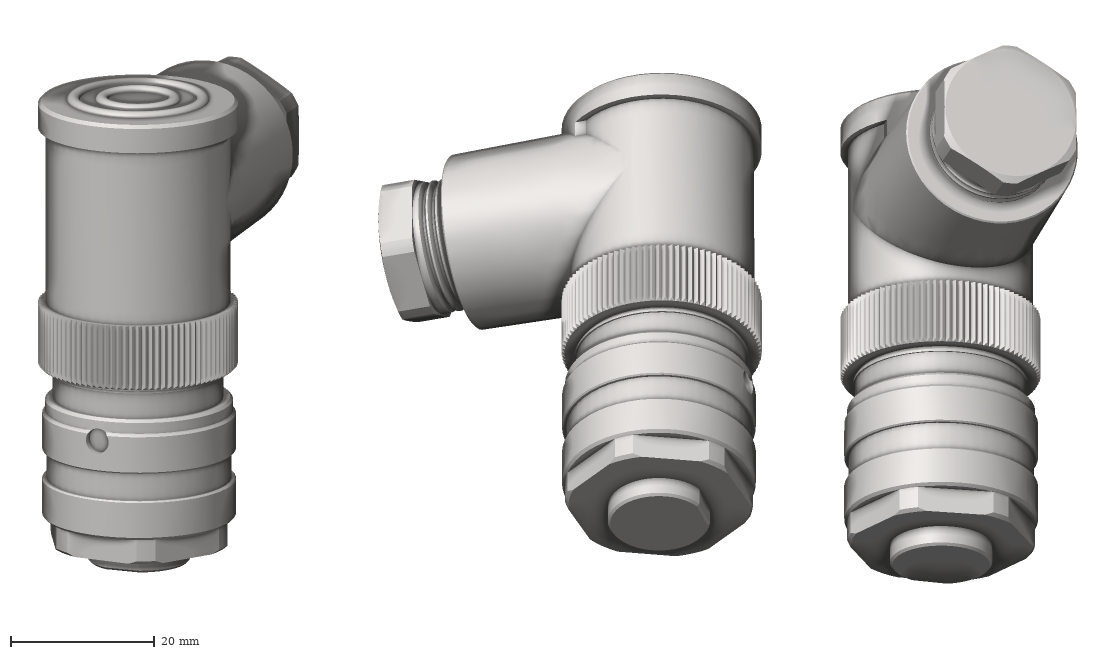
import cadquery as cq
import math


TOTAL_HEIGHT = 67.4
OVERALL_WIDTH = 28.0
CAP_RADIUS = OVERALL_WIDTH / 2
CAP_TOP = 66.65
CAP_BOTTOM = 62.7
CAP_CHAMFER = 0.5
BEAD_HEIGHT = TOTAL_HEIGHT - CAP_TOP
BEAD_WIDTH = 1.8
BEAD_MID_RADII = (5.05, 9.0)
BARREL_RADIUS = 12.95
KEY_HALF_WIDTH = 10.25
KNURL_TOP = 37.55
KNURL_BOTTOM = 28.3
KNURL_TEETH = 94
KNURL_DEPTH = 0.5
KNURL_CHAMFER = 0.4
NECK_RADIUS = 11.9
SHOULDER_RADIUS = 12.2
SHOULDER_TOP_RADIUS = 11.85
SHOULDER_CREST = 27.8
SHOULDER_BOTTOM = 27.4
NECK_BOTTOM = 16.05

ARM_AXIS_Z = 52.8
ARM_LENGTH = 28.5
ARM_END_RADIUS = 12.4
ARM_CHAMFER = 0.2
OVERALL_DEPTH = 52.5
GLAND_END_Y = OVERALL_DEPTH - CAP_RADIUS
GLAND_NUT_LENGTH = 5.0
GLAND_NUT_APOTHEM = 9.5
GLAND_NUT_CORNER_RADIUS = 10.45
GLAND_NUT_CHAMFER_SHORT = 0.35
GLAND_NUT_CHAMFER_LONG = 1.0
STUD_RADIUS = 9.3
STUD_INSERTION = 1.9
THREAD_ROOT_RADIUS = 8.5
THREAD_PITCH = 1.35
THREAD_TURNS = 3.95
THREAD_START_Y = 27.4
THREAD_OPENING = 1.1
THREAD_ROOT_WIDTH = 0.3

INSERT_OFFSET_Y = 0.4
INSERT_TURN = -5.0
COLLAR_TOP = 23.7
COLLAR_RADIUS = 13.15
COLLAR_CHAMFER = 0.4
RING_RADIUS = 13.55
GROOVE_RADIUS = 12.95
UPPER_RING_TOP = 21.8
UPPER_RING_BOTTOM = NECK_BOTTOM
LOWER_RING_TOP = 12.05
LOWER_RING_BOTTOM = 6.4
RING_CHAMFER = RING_RADIUS - COLLAR_RADIUS
RING_EDGE_BREAK = 0.2
HEX_BOTTOM = 2.8
HEX_APOTHEM = 12.0
HEX_CORNER_RADIUS = 13.15
HEX_CHAMFER = 0.5
TIP_RADIUS = 7.15
TIP_CHAMFER = 0.35
TIP_FLAT_DISTANCE = 6.7
WINDOW_Z = 20.4
WINDOW_RADIUS = 1.75


def cylinder(radius, bottom, top):
    """Upright cylinder on the Z axis."""
    return cq.Workplane("XY").workplane(offset=bottom).circle(radius).extrude(top - bottom)


def revolved(points):
    """Solid of revolution about the Z axis from (radius, height) points."""
    return cq.Workplane("XZ").polyline(points).close().revolve(360, (0, 0, 0), (0, 1, 0))


def hexagon(apothem, bottom, top):
    """Hexagonal prism on the Z axis, with flats facing +X and -X."""
    across_corners = 2 * apothem / math.cos(math.pi / 6)
    prism = cq.Workplane("XY").workplane(offset=bottom).polygon(6, across_corners).extrude(top - bottom)
    return prism.rotate((0, 0, 0), (0, 0, 1), 30)


def onto_arm(shape):
    """Move a shape built along +Z from the origin so that it lies along the arm axis, towards +Y."""
    return shape.rotate((0, 0, 0), (1, 0, 0), -90).translate((0, 0, ARM_AXIS_Z))


def cap():
    """Chamfered disc with two raised round beads on top."""
    disc = cylinder(CAP_RADIUS, CAP_BOTTOM, CAP_TOP).faces(">Z").chamfer(CAP_CHAMFER)
    for radius in BEAD_MID_RADII:
        bead = (
            cq.Workplane("XZ")
            .moveTo(radius - BEAD_WIDTH / 2, CAP_TOP)
            .threePointArc((radius, CAP_TOP + BEAD_HEIGHT), (radius + BEAD_WIDTH / 2, CAP_TOP))
            .close()
            .revolve(360, (0, 0, 0), (0, 1, 0))
        )
        disc = disc.union(bead)
    return disc


def cap_key():
    """Flat-sided block that carries the cap's round edge down into the arm."""
    height = CAP_BOTTOM - ARM_AXIS_Z
    side_strip = (
        cq.Workplane("XY", origin=(0, 0, ARM_AXIS_Z))
        .rect(2 * KEY_HALF_WIDTH, CAP_RADIUS, centered=(True, False))
        .extrude(height)
    )
    return cylinder(CAP_RADIUS, ARM_AXIS_Z, CAP_BOTTOM).intersect(side_strip)


def knurled_band():
    """Band of upright V-shaped teeth, chamfered at its lower edge."""
    outline = []
    for step in range(2 * KNURL_TEETH):
        radius = CAP_RADIUS - KNURL_DEPTH * (step % 2)
        angle = math.pi * step / KNURL_TEETH
        outline.append((radius * math.cos(angle), radius * math.sin(angle)))
    height = KNURL_TOP - KNURL_BOTTOM
    toothed = cq.Workplane("XY").workplane(offset=KNURL_BOTTOM).polyline(outline).close().extrude(height)
    envelope = cylinder(CAP_RADIUS, KNURL_BOTTOM, KNURL_TOP).faces("<Z").chamfer(KNURL_CHAMFER)
    return toothed.intersect(envelope)


def neck():
    """Round neck below the knurled band; its lower end sits in the socket of the insert."""
    return revolved([
        (0, NECK_BOTTOM),
        (NECK_RADIUS, NECK_BOTTOM),
        (NECK_RADIUS, SHOULDER_BOTTOM),
        (SHOULDER_RADIUS, SHOULDER_BOTTOM),
        (SHOULDER_RADIUS, SHOULDER_CREST),
        (SHOULDER_TOP_RADIUS, KNURL_BOTTOM),
        (0, KNURL_BOTTOM),
    ])


def arm():
    """Tapered arm that starts on the barrel axis with the barrel's own radius."""
    cone = revolved([(0, 0), (BARREL_RADIUS, 0), (ARM_END_RADIUS, ARM_LENGTH), (0, ARM_LENGTH)])
    return onto_arm(cone.faces(">Z").chamfer(ARM_CHAMFER))


def gland_stud():
    """Threaded stud: a cylinder with a right-handed helical groove that runs out below the nut."""
    stud = cylinder(STUD_RADIUS, ARM_LENGTH - STUD_INSERTION, GLAND_END_Y - GLAND_NUT_LENGTH)
    path = cq.Wire.makeHelix(THREAD_PITCH, THREAD_PITCH * THREAD_TURNS, THREAD_ROOT_RADIUS)
    slope = (THREAD_OPENING - THREAD_ROOT_WIDTH) / 2 / (STUD_RADIUS - THREAD_ROOT_RADIUS)
    overshoot = 0.15
    cut_radius = STUD_RADIUS + overshoot
    half_opening = THREAD_OPENING / 2 + overshoot * slope
    half_root = THREAD_ROOT_WIDTH / 2
    groove = (
        cq.Workplane("XZ")
        .polyline([
            (THREAD_ROOT_RADIUS, -half_root),
            (cut_radius, -half_opening),
            (cut_radius, half_opening),
            (THREAD_ROOT_RADIUS, half_root),
        ])
        .close()
        .sweep(cq.Workplane(path), isFrenet=True)
        .translate((0, 0, THREAD_START_Y))
    )
    return onto_arm(stud.cut(groove))


def gland_nut():
    start = GLAND_END_Y - GLAND_NUT_LENGTH
    envelope = cylinder(GLAND_NUT_CORNER_RADIUS, start, GLAND_END_Y)
    envelope = envelope.faces(">Z").chamfer(GLAND_NUT_CHAMFER_SHORT, GLAND_NUT_CHAMFER_LONG)
    return onto_arm(hexagon(GLAND_NUT_APOTHEM, start, GLAND_END_Y).intersect(envelope))


def elbow_housing():
    barrel = cylinder(BARREL_RADIUS, KNURL_TOP, CAP_BOTTOM)
    body = barrel.union(arm()).union(cap()).union(cap_key())
    body = body.union(knurled_band()).union(neck())
    return body.union(gland_stud()).union(gland_nut())


def insert_rings():
    """Stepped and grooved round part of the insert, from the hexagon up to the collar."""
    return revolved([
        (0, LOWER_RING_BOTTOM),
        (RING_RADIUS - RING_CHAMFER, LOWER_RING_BOTTOM),
        (RING_RADIUS, LOWER_RING_BOTTOM + RING_CHAMFER),
        (RING_RADIUS, LOWER_RING_TOP - RING_EDGE_BREAK),
        (RING_RADIUS - RING_EDGE_BREAK, LOWER_RING_TOP),
        (GROOVE_RADIUS, LOWER_RING_TOP),
        (GROOVE_RADIUS, UPPER_RING_BOTTOM),
        (RING_RADIUS - RING_EDGE_BREAK, UPPER_RING_BOTTOM),
        (RING_RADIUS, UPPER_RING_BOTTOM + RING_EDGE_BREAK),
        (RING_RADIUS, UPPER_RING_TOP - RING_CHAMFER),
        (COLLAR_RADIUS, UPPER_RING_TOP),
        (COLLAR_RADIUS, COLLAR_TOP - COLLAR_CHAMFER),
        (COLLAR_RADIUS - COLLAR_CHAMFER, COLLAR_TOP),
        (0, COLLAR_TOP),
    ])


def insert_hexagon():
    envelope = cylinder(HEX_CORNER_RADIUS, HEX_BOTTOM, LOWER_RING_BOTTOM).faces("<Z").chamfer(HEX_CHAMFER)
    prism = hexagon(HEX_APOTHEM, HEX_BOTTOM, LOWER_RING_BOTTOM)
    prism = prism.rotate((0, 0, 0), (0, 0, 1), 30)
    return prism.intersect(envelope)


def index_window():
    """Cutter for the round window through the -Y wall of the insert, which shows the neck behind it."""
    reach = RING_RADIUS + WINDOW_RADIUS
    return cq.Workplane("XZ", origin=(0, 0, WINDOW_Z)).circle(WINDOW_RADIUS).extrude(reach)


def insert_tip():
    """Round plug tip with one flat on its -Y side."""
    tip = cylinder(TIP_RADIUS, 0, HEX_BOTTOM)
    flat_cut = cq.Workplane("XY").box(
        2 * TIP_RADIUS, TIP_RADIUS, HEX_BOTTOM, centered=(True, False, False)
    ).translate((0, -TIP_FLAT_DISTANCE - TIP_RADIUS, 0))
    return tip.cut(flat_cut).faces("<Z").chamfer(TIP_CHAMFER)


def plug_insert():
    """The insert is turned about its own axis and set off from the barrel axis; the socket is not."""
    body = insert_rings().union(insert_hexagon())
    body = body.rotate((0, 0, 0), (0, 0, 1), INSERT_TURN)
    body = body.union(insert_tip()).translate((0, INSERT_OFFSET_Y, 0))
    window = index_window().rotate((0, 0, 0), (0, 0, 1), INSERT_TURN)
    window = window.translate((0, INSERT_OFFSET_Y, 0))
    socket = cylinder(NECK_RADIUS, NECK_BOTTOM, COLLAR_TOP)
    return body.cut(socket).cut(window)


housing = elbow_housing()
insert = plug_insert()

result = cq.Compound.makeCompound([*housing.solids().vals(), *insert.solids().vals()])